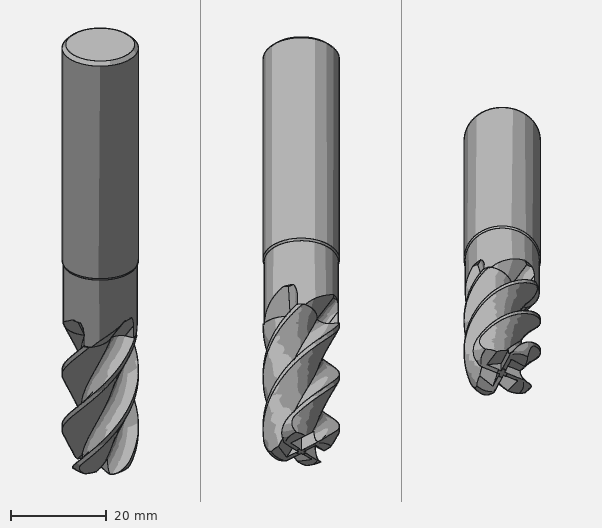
import cadquery as cq
import math

total_length = 100.0
diameter = 16.0
radius = diameter / 2

neck_radius = 7.75
neck_top = 48.6
shank_chamfer = 0.8
shoulder_height = 0.5

head_length = 32.0
tooth_count = 4
lead = 52.7
corner_radius = 4.0
edge_angle = -3.0
tooth_pitch = 360 / tooth_count

land_angle = 9.0
relief_mid_angle = 28.0
relief_mid_radius = 6.5
flute_bottom_angle = 61.0
core_radius = 4.0
hook_mid_angle = 81.0
hook_mid_radius = 4.4
rake_inner_radius = 5.8

runout_height = 5.2
runout_depth = 3.5

gash_start = 0.4
gash_width = 3.5
gash_depth = 3.2

clearance_start = 1.0
clearance_width = 6.0
clearance_rise = 1.2


def polar(distance, angle):
    """Point at a distance from the tool axis and an angle in degrees."""
    return (distance * math.cos(math.radians(angle)), distance * math.sin(math.radians(angle)))


def add_flute_curve(sketch, start):
    """Relief arc down to the flute bottom, then hook arc and radial rake to the next edge."""
    sketch = sketch.threePointArc(
        polar(relief_mid_radius, start + relief_mid_angle),
        polar(core_radius, start + flute_bottom_angle),
    )
    sketch = sketch.threePointArc(
        polar(hook_mid_radius, start + hook_mid_angle),
        polar(rake_inner_radius, start + tooth_pitch),
    )
    return sketch.lineTo(*polar(radius, start + tooth_pitch))


def tooth_section():
    """Closed cross-section of the head at its lower end."""
    sketch = cq.Workplane("XY").moveTo(*polar(radius, edge_angle))
    for tooth in range(tooth_count):
        start = edge_angle + tooth * tooth_pitch
        sketch = sketch.threePointArc(
            polar(radius, start + land_angle / 2), polar(radius, start + land_angle)
        )
        sketch = add_flute_curve(sketch, start)
    return sketch.close()


def corner_ring():
    """Ring outside the rounded lower corners of the teeth."""
    arc_centre = radius - corner_radius
    arc_mid = corner_radius * math.sqrt(0.5)
    outside = 2 * radius
    return (
        cq.Workplane("XZ")
        .moveTo(arc_centre, 0)
        .threePointArc((arc_centre + arc_mid, corner_radius - arc_mid), (radius, corner_radius))
        .lineTo(outside, corner_radius)
        .lineTo(outside, -corner_radius)
        .lineTo(arc_centre, -corner_radius)
        .close()
        .revolve(360, (0, 0, 0), (0, 1, 0))
    )


def end_gash():
    """Wedge that clears the end face ahead of the first cutting edge."""
    edge_side = polar(radius, edge_angle)[1]
    return (
        cq.Workplane("YZ", origin=(gash_start, 0, 0))
        .polyline([(edge_side, 0), (edge_side, gash_depth), (edge_side - gash_width, 0)])
        .close()
        .extrude(radius)
    )


def end_clearance():
    """Shallow wedge that lifts the end face behind the first cutting edge."""
    edge_side = polar(radius, edge_angle)[1]
    back_side = edge_side + clearance_width
    return (
        cq.Workplane("YZ", origin=(clearance_start, 0, 0))
        .polyline([(edge_side, 0), (back_side, clearance_rise), (back_side, 0)])
        .close()
        .extrude(radius)
    )


def make_cutting_head():
    """Helical four-tooth head with rounded lower corners, end gashes and end clearance."""
    head = tooth_section().twistExtrude(head_length, 360 * head_length / lead)
    head = head.cut(corner_ring())
    gash = end_gash()
    clearance = end_clearance()
    for tooth in range(tooth_count):
        turn = tooth * tooth_pitch
        head = head.cut(gash.rotate((0, 0, 0), (0, 0, 1), turn))
        head = head.cut(clearance.rotate((0, 0, 0), (0, 0, 1), turn))
    return head


def flute_runout():
    """Slanted continuation of one flute, leaving the neck as it rises."""
    start = edge_angle + 360 * head_length / lead
    outside = 2 * radius
    slant_x, slant_y = polar(runout_depth, start + tooth_pitch)
    profile = cq.Workplane("XY").moveTo(*polar(radius, start + land_angle))
    outline = (
        add_flute_curve(profile, start)
        .lineTo(*polar(outside, start + tooth_pitch))
        .lineTo(*polar(outside, start + land_angle))
        .close()
    )
    face = cq.Face.makeFromWires(outline.wires().val())
    path = cq.Vector(slant_x, slant_y, runout_height)
    prism = cq.Solid.extrudeLinear(face, path)
    return cq.Workplane(prism.translate(cq.Vector(0, 0, head_length)))


def make_shank():
    """Chamfered shank with a slimmer neck cut by the flute run-outs."""
    shank = (
        cq.Workplane("XZ")
        .moveTo(0, head_length)
        .lineTo(neck_radius, head_length)
        .lineTo(neck_radius, neck_top - shoulder_height)
        .lineTo(radius, neck_top)
        .lineTo(radius, total_length - shank_chamfer)
        .lineTo(radius - shank_chamfer, total_length)
        .lineTo(0, total_length)
        .close()
        .revolve(360, (0, 0, 0), (0, 1, 0))
    )
    runout = flute_runout()
    for tooth in range(tooth_count):
        shank = shank.cut(runout.rotate((0, 0, 0), (0, 0, 1), tooth * tooth_pitch))
    return shank


cutting_head = make_cutting_head()
shank = make_shank()

result = cq.Compound.makeCompound([cutting_head.val(), shank.val()])